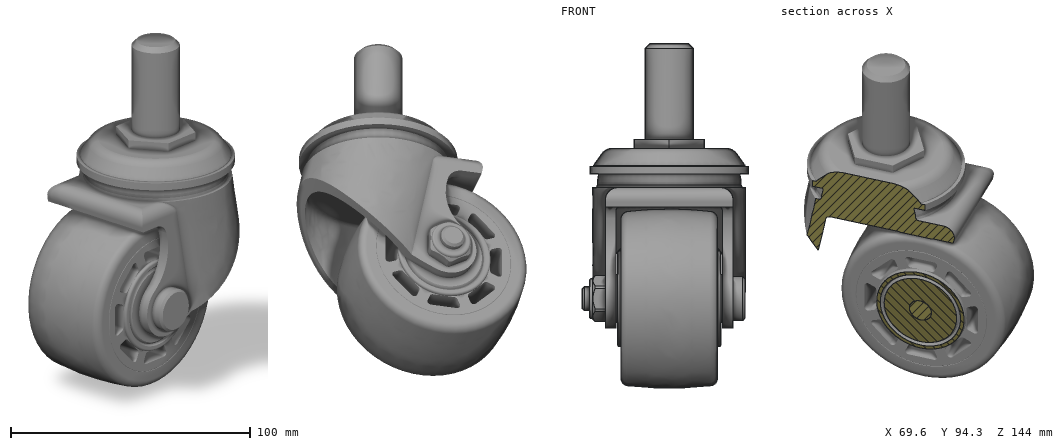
import cadquery as cq
import math


AXLE_Y = -23.0
TILT = 11.0
TILT_SLOPE = math.tan(math.radians(TILT))

STEM_R = 10.1
STEM_TOP = 106.5
STEM_CHAMFER = 2.0
HEX_FLATS = 29.4
HEX_TOP = 66.5
COVER_TOP = 62.8
COVER_TOP_R = 24.2
SHOULDER_R = 28.2
SHOULDER_Z = 60.5
CROWN_BULGE = 0.5
CONE_R = 31.7
CONE_BOTTOM = 55.6
FLANGE_R = 33.1
FLANGE_TOP = 55.3
FLANGE_BOTTOM = 52.1
NECK_TOP_R = 29.7
NECK_TOP_Z = 51.3
NECK_R = 30.1
NECK_STEP_Z = 48.7
NECK_FOOT_Z = 47.4
NECK_FOOT_R = 30.5

FORK_TOP = 46.4
FORK_R = 32.0
FORK_HALF_W = 26.6
WALL = 4.5
ROOF_Z = 38.3
ROOF_FILLET = 1.5
LIP_Y = -39.3
PLATE_FILLET = 5.0
LEG_END_R = 12.4
WAIST_R = 21.9
WAIST_BEHIND_AXLE = 0.9
LIP_CORNER_R = 6.5
HEM_BACK = (34.0, 37.6)
HEM_MIDDLE = (13.0, 9.2)
HEM_END_ANGLE = 244.0

BOLT_R = 5.0
BOLT_TIP_X = -36.5
BOLT_CHAMFER = 1.0
NUT_FLATS = 17.3
NUT_CORNER_R = 9.6
NUT_HEX_LENGTH = 5.5
NUT_CHAMFER_LENGTH = 1.2
NUT_COLLAR_R = 8.4
NUT_LENGTH = 6.6
NUT_COLLAR_FILLET = 0.9
HEAD_R = 9.2
HEAD_LENGTH = 5.0
HEAD_CHAMFER = 1.0
SPACER_R = 10.1

WHEEL_R = 37.5
TREAD_EDGE_R = 36.5
TREAD_HALF_W = 17.1
SIDE_R = 33.0
WHEEL_HALF_W = 20.2
HUB_R = 20.0
HUB_HALF_W = 21.6
HUB_FILLET = 0.9
BEARING_R = 16.1
BEARING_SEAT_R = 17.9
BEARING_GROOVE_DEPTH = 0.9
RIM_GROOVE_R = 29.1
RIM_GROOVE_SIZE = 0.1
WINDOW_COUNT = 8
WINDOW_INNER = 20.0
WINDOW_OUTER = 25.2
WINDOW_INNER_HALF = 5.6
WINDOW_FILLET = 1.5

FAR = 86.4


def x_axis_plane(x):
    """Plane across the axle at X = x, with local x along +Y and local y along +Z."""
    return cq.Workplane("YZ", origin=(x, AXLE_Y, 0))


def x_cylinder(radius, x_start, x_end):
    return x_axis_plane(x_start).circle(radius).extrude(x_end - x_start)


def make_head():
    """Stem, cover, flange and neck turned as one, with the hexagonal collar."""
    crown_mid = (
        (COVER_TOP_R + SHOULDER_R) / 2 + CROWN_BULGE / 2,
        (COVER_TOP + SHOULDER_Z) / 2 + CROWN_BULGE,
    )
    turned = (
        cq.Workplane("XZ")
        .moveTo(0, FORK_TOP)
        .lineTo(NECK_FOOT_R, FORK_TOP)
        .lineTo(NECK_R, NECK_FOOT_Z)
        .lineTo(NECK_R, NECK_STEP_Z)
        .lineTo(NECK_TOP_R, NECK_TOP_Z)
        .lineTo(NECK_TOP_R, FLANGE_BOTTOM)
        .lineTo(FLANGE_R, FLANGE_BOTTOM)
        .lineTo(FLANGE_R, FLANGE_TOP)
        .lineTo(CONE_R, FLANGE_TOP)
        .lineTo(CONE_R, CONE_BOTTOM)
        .lineTo(SHOULDER_R, SHOULDER_Z)
        .threePointArc(crown_mid, (COVER_TOP_R, COVER_TOP))
        .lineTo(STEM_R, COVER_TOP)
        .lineTo(STEM_R, STEM_TOP - STEM_CHAMFER)
        .lineTo(STEM_R - STEM_CHAMFER, STEM_TOP)
        .lineTo(0, STEM_TOP)
        .close()
        .revolve(360, (0, 0, 0), (0, 1, 0))
    )
    collar = (
        cq.Workplane("XY", origin=(0, 0, COVER_TOP))
        .polygon(6, HEX_FLATS, circumscribed=True)
        .extrude(HEX_TOP - COVER_TOP)
    )
    return turned.union(collar)


def leaning_column(radius, top):
    """Column that is round in every horizontal section, leaning with the fork and cut level at top."""
    lean_plane = cq.Plane(
        origin=(0, 0, FORK_TOP),
        xDir=(1, 0, 0),
        normal=(0, -TILT_SLOPE, 1),
    )
    column = (
        cq.Workplane(lean_plane)
        .workplane(offset=-FAR)
        .ellipse(radius, radius * math.cos(math.radians(TILT)))
        .extrude(2 * FAR)
    )
    below_top = cq.Workplane("XY", origin=(0, 0, top - FAR)).rect(2 * FAR, 2 * FAR).extrude(FAR)
    return column.intersect(below_top)


def plate_and_legs_block():
    """Straight-sided block from the column axis forward, reaching down past the legs.

    Its front leans with the fork down to the roof. Below that the block runs far forward, so that
    the fork's side outline shapes the legs.
    """
    bottom = -FAR
    return (
        cq.Workplane("YZ", origin=(-FORK_HALF_W, 0, 0))
        .polyline(
            [
                (0, FORK_TOP),
                (LIP_Y, FORK_TOP),
                (LIP_Y + (FORK_TOP - ROOF_Z) * TILT_SLOPE, ROOF_Z),
                (-FAR, ROOF_Z),
                (-FAR, bottom),
                ((FORK_TOP - bottom) * TILT_SLOPE, bottom),
            ]
        )
        .close()
        .extrude(2 * FORK_HALF_W)
    )


def leg_gap():
    """Straight-sided gap between the legs, open to the front and bottom."""
    half_width = FORK_HALF_W - WALL
    bottom = -FAR
    return (
        cq.Workplane("YZ", origin=(-half_width, 0, 0))
        .polyline(
            [
                ((FORK_TOP - ROOF_Z) * TILT_SLOPE, ROOF_Z),
                (-FAR, ROOF_Z),
                (-FAR, bottom),
                ((FORK_TOP - bottom) * TILT_SLOPE, bottom),
            ]
        )
        .close()
        .extrude(2 * half_width)
    )


def fork_side_outline():
    """Everything the fork keeps when seen along X: lip, waisted leg, leg end and lower edge."""
    waist_y = AXLE_Y - (WAIST_R - WAIST_BEHIND_AXLE)
    waist_reach = WAIST_R + LEG_END_R
    waist_z = math.sqrt(waist_reach**2 - (waist_y - AXLE_Y) ** 2)
    waist_start = (
        AXLE_Y + (waist_y - AXLE_Y) * LEG_END_R / waist_reach,
        waist_z * LEG_END_R / waist_reach,
    )
    waist_middle = (waist_y + WAIST_R, waist_z)

    corner_z = ROOF_Z - LIP_CORNER_R
    corner_gap = WAIST_R - LIP_CORNER_R
    corner_y = waist_y + math.sqrt(corner_gap**2 - (corner_z - waist_z) ** 2)
    waist_end = (
        waist_y + (corner_y - waist_y) * WAIST_R / corner_gap,
        waist_z + (corner_z - waist_z) * WAIST_R / corner_gap,
    )
    corner_middle = (
        corner_y + LIP_CORNER_R * math.cos(math.radians(45)),
        corner_z + LIP_CORNER_R * math.sin(math.radians(45)),
    )

    hem_angle = math.radians(HEM_END_ANGLE)
    hem_end = (AXLE_Y - LEG_END_R * math.cos(hem_angle), LEG_END_R * math.sin(hem_angle))
    leg_tip = (AXLE_Y - LEG_END_R, 0)

    return (
        cq.Workplane("YZ", origin=(-FAR, 0, 0))
        .moveTo(FAR, FORK_TOP)
        .lineTo(-FAR, FORK_TOP)
        .lineTo(-FAR, ROOF_Z)
        .lineTo(corner_y, ROOF_Z)
        .threePointArc(corner_middle, waist_end)
        .threePointArc(waist_middle, waist_start)
        .threePointArc(leg_tip, hem_end)
        .threePointArc(HEM_MIDDLE, HEM_BACK)
        .lineTo(FAR, HEM_BACK[1])
        .close()
        .extrude(2 * FAR)
    )


def make_fork():
    plate = plate_and_legs_block().faces(">Z").edges("<Y or |Y").fillet(PLATE_FILLET)
    outside = leaning_column(FORK_R, FORK_TOP).union(plate).intersect(fork_side_outline())

    cavity = leaning_column(FORK_R - WALL, ROOF_Z).union(leg_gap())
    cavity = cavity.faces(">Z").edges().fillet(ROOF_FILLET)
    return outside.cut(cavity)


def make_bolt():
    """Axle bolt with its head on +X, the collared nut on -X and a spacer inside each leg."""
    nut_x = -FORK_HALF_W
    hex_end = nut_x - NUT_HEX_LENGTH
    nut_end = nut_x - NUT_LENGTH

    shank = x_cylinder(BOLT_R, BOLT_TIP_X, FORK_HALF_W).faces("<X").chamfer(BOLT_CHAMFER)
    head = x_cylinder(HEAD_R, FORK_HALF_W, FORK_HALF_W + HEAD_LENGTH).faces(">X").chamfer(HEAD_CHAMFER)

    prism = x_axis_plane(hex_end).polygon(6, NUT_FLATS, circumscribed=True).extrude(NUT_HEX_LENGTH)
    turned_envelope = (
        x_cylinder(NUT_CORNER_R, hex_end, nut_x)
        .faces("<X")
        .chamfer(NUT_CHAMFER_LENGTH, NUT_CORNER_R - NUT_COLLAR_R)
    )
    collar = x_cylinder(NUT_COLLAR_R, nut_end, nut_x).faces("<X").edges().fillet(NUT_COLLAR_FILLET)

    bolt = shank.union(head).union(prism.intersect(turned_envelope)).union(collar)
    leg_inside = FORK_HALF_W - WALL
    for start, end in ((-leg_inside, -HUB_HALF_W), (HUB_HALF_W, leg_inside)):
        bolt = bolt.union(x_cylinder(SPACER_R, start, end))
    return bolt


def make_frame():
    """Stem, cover, fork and axle bolt as one body."""
    return make_fork().union(make_head()).union(make_bolt())


def turned_about_axle(points):
    """Ring turned about the axle from closed (X, radius) points."""
    return (
        cq.Workplane("XY", origin=(0, AXLE_Y, 0))
        .polyline(points)
        .close()
        .revolve(360, (0, 0, 0), (1, 0, 0))
    )


def make_wheel_blank():
    """Crowned tyre with rounded shoulders."""
    round_r = TREAD_EDGE_R - SIDE_R
    diagonal = math.sin(math.radians(45))
    shoulder_x = WHEEL_HALF_W - (WHEEL_HALF_W - TREAD_HALF_W) * (1 - diagonal)
    shoulder_r = TREAD_EDGE_R - round_r * (1 - diagonal)
    return (
        cq.Workplane("XY", origin=(0, AXLE_Y, 0))
        .moveTo(-WHEEL_HALF_W, 0)
        .lineTo(-WHEEL_HALF_W, SIDE_R)
        .threePointArc((-shoulder_x, shoulder_r), (-TREAD_HALF_W, TREAD_EDGE_R))
        .threePointArc((0, WHEEL_R), (TREAD_HALF_W, TREAD_EDGE_R))
        .threePointArc((shoulder_x, shoulder_r), (WHEEL_HALF_W, SIDE_R))
        .lineTo(WHEEL_HALF_W, 0)
        .close()
        .revolve(360, (0, 0, 0), (1, 0, 0))
    )


def make_window(index):
    """One through window; its sides follow the edges of the straight spokes beside it."""
    flare = (WINDOW_OUTER - WINDOW_INNER) * math.tan(math.pi / WINDOW_COUNT)
    outer_half = WINDOW_INNER_HALF + flare
    return (
        x_axis_plane(-WHEEL_HALF_W)
        .polyline(
            [
                (WINDOW_INNER, -WINDOW_INNER_HALF),
                (WINDOW_OUTER, -outer_half),
                (WINDOW_OUTER, outer_half),
                (WINDOW_INNER, WINDOW_INNER_HALF),
            ]
        )
        .close()
        .extrude(2 * WHEEL_HALF_W)
        .edges("|X")
        .fillet(WINDOW_FILLET)
        .rotate((0, AXLE_Y, 0), (1, AXLE_Y, 0), index * 360 / WINDOW_COUNT)
    )


def make_wheel():
    wheel = make_wheel_blank()
    for index in range(WINDOW_COUNT):
        wheel = wheel.cut(make_window(index))

    hub = x_cylinder(HUB_R, -HUB_HALF_W, HUB_HALF_W).faces("<X or >X").edges().fillet(HUB_FILLET)
    wheel = wheel.union(hub)

    groove_mid_r = (BEARING_R + BEARING_SEAT_R) / 2
    for side in (-1, 1):
        bearing_groove = turned_about_axle(
            [
                (side * HUB_HALF_W, BEARING_R),
                (side * (HUB_HALF_W - BEARING_GROOVE_DEPTH), groove_mid_r),
                (side * HUB_HALF_W, BEARING_SEAT_R),
            ]
        )
        rim_groove = turned_about_axle(
            [
                (side * WHEEL_HALF_W, RIM_GROOVE_R - RIM_GROOVE_SIZE),
                (side * (WHEEL_HALF_W - RIM_GROOVE_SIZE), RIM_GROOVE_R),
                (side * WHEEL_HALF_W, RIM_GROOVE_R + RIM_GROOVE_SIZE),
            ]
        )
        wheel = wheel.cut(bearing_groove).cut(rim_groove)

    return wheel.cut(x_cylinder(BOLT_R, -HUB_HALF_W, HUB_HALF_W))


frame = make_frame()
wheel = make_wheel()
result = cq.Compound.makeCompound([frame.val(), wheel.val()])